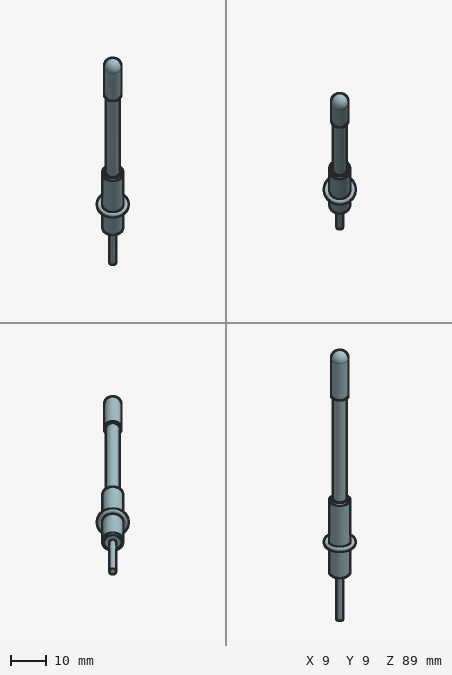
import cadquery as cq

TOTAL_LENGTH = 89.0

TAIL_DIAMETER = 2.0
TAIL_LENGTH = 15.0
SLEEVE_DIAMETER = 6.0
SLEEVE_LENGTH = 25.0
SLEEVE_CHAMFER = 0.5
ROD_DIAMETER = 4.0
HEAD_DIAMETER = 5.0
HEAD_LENGTH = 15.0
HEAD_EDGE_CHAMFER = 0.3

RING_OUTER_DIAMETER = 9.0
RING_HEIGHT = 25.5

SLEEVE_TOP = TAIL_LENGTH + SLEEVE_LENGTH
HEAD_BOTTOM = TOTAL_LENGTH - HEAD_LENGTH


def cylinder(diameter, bottom, top):
    """Vertical cylinder on the Z axis between two heights."""
    return cq.Workplane("XY").workplane(offset=bottom).circle(diameter / 2).extrude(top - bottom)


def make_head():
    """Head with a hemispherical tip and a chamfered lower edge."""
    head_radius = HEAD_DIAMETER / 2
    dome_center = TOTAL_LENGTH - head_radius
    shank = cylinder(HEAD_DIAMETER, HEAD_BOTTOM, dome_center).faces("<Z").chamfer(HEAD_EDGE_CHAMFER)
    dome = cq.Workplane("XY").sphere(head_radius).translate((0, 0, dome_center))
    return shank.union(dome)


def make_probe():
    """Tail, chamfered sleeve, rod and head stacked along the axis."""
    tail = cylinder(TAIL_DIAMETER, 0, TAIL_LENGTH)
    sleeve = cylinder(SLEEVE_DIAMETER, TAIL_LENGTH, SLEEVE_TOP).faces("<Z or >Z").chamfer(SLEEVE_CHAMFER)
    rod = cylinder(ROD_DIAMETER, SLEEVE_TOP, HEAD_BOTTOM)
    return tail.union(sleeve).union(rod).union(make_head())


def make_ring():
    """Torus whose inner diameter equals the sleeve diameter."""
    section_radius = (RING_OUTER_DIAMETER - SLEEVE_DIAMETER) / 4
    center_radius = RING_OUTER_DIAMETER / 2 - section_radius
    torus = cq.Solid.makeTorus(center_radius, section_radius, cq.Vector(0, 0, RING_HEIGHT))
    return cq.Workplane(torus)


probe = make_probe()
ring = make_ring()

result = cq.Compound.makeCompound([probe.val(), ring.val()])